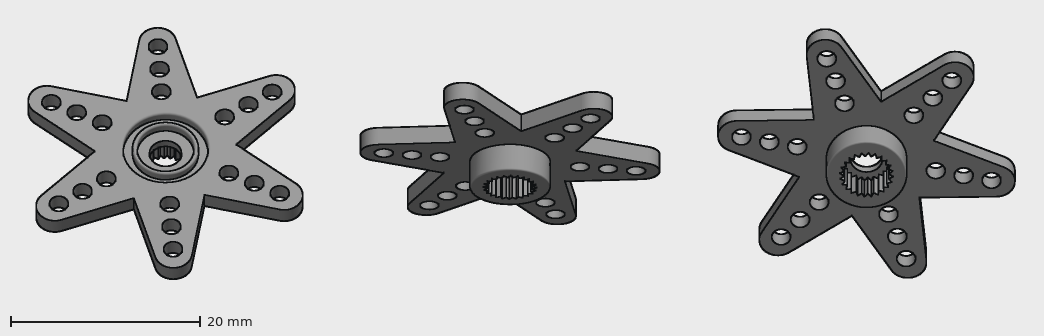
import cadquery as cq
import math

ARMS = 6
TIP_REACH = 16.0
TIP_RADIUS = 2.0
TIP_CENTER_RADIUS = TIP_REACH - TIP_RADIUS
VALLEY_RADIUS = 7.5
PLATE_THICKNESS = 2.0
TOTAL_HEIGHT = 5.0

HOLE_DIAMETER = 2.0
HOLE_FIRST_RADIUS = 7.5
HOLE_PITCH = 3.0
HOLES_PER_ARM = 3

FIRST_ARM_ANGLE = math.pi / 2
ARM_PITCH = 2 * math.pi / ARMS

HUB_DIAMETER = 8.5
HUB_FILLET = 0.2
HUB_HEIGHT = TOTAL_HEIGHT - PLATE_THICKNESS

GROOVE_DIAMETER = 9.0
RECESS_DEPTH = PLATE_THICKNESS / 2
GROOVE_RIM_FILLET = 0.25
RING_OUTER_DIAMETER = 7.0
RING_INNER_DIAMETER = 6.0

SCREW_DIAMETER = 3.4
SOCKET_DEPTH = HUB_HEIGHT
SPLINE_TEETH = 24
SPLINE_ROOT_RADIUS = 2.8
SPLINE_TIP_RADIUS = 2.4

SELECT_MARGIN = 0.03


def polar(radius, angle):
    return radius * math.cos(angle), radius * math.sin(angle)


def star_plate():
    """Star with rounded tips whose straight flanks are tangent to the tip arcs."""
    half_pitch = ARM_PITCH / 2
    valley_x, valley_y = polar(VALLEY_RADIUS, half_pitch)
    tip_distance = math.hypot(TIP_CENTER_RADIUS - valley_x, valley_y)
    flank_slope = math.atan2(valley_y, TIP_CENTER_RADIUS - valley_x) - math.asin(TIP_RADIUS / tip_distance)
    tangent_x = TIP_CENTER_RADIUS + TIP_RADIUS * math.sin(flank_slope)
    tangent_y = TIP_RADIUS * math.cos(flank_slope)
    tangent_radius = math.hypot(tangent_x, tangent_y)
    tangent_angle = math.atan2(tangent_y, tangent_x)

    outline = cq.Workplane("XY").moveTo(*polar(VALLEY_RADIUS, FIRST_ARM_ANGLE - half_pitch))
    for arm in range(ARMS):
        axis = FIRST_ARM_ANGLE + ARM_PITCH * arm
        outline = (
            outline.lineTo(*polar(tangent_radius, axis - tangent_angle))
            .threePointArc(polar(TIP_REACH, axis), polar(tangent_radius, axis + tangent_angle))
        )
        if arm < ARMS - 1:
            outline = outline.lineTo(*polar(VALLEY_RADIUS, axis + half_pitch))
    return outline.close().extrude(PLATE_THICKNESS)


def hub():
    cylinder = cq.Workplane("XY").circle(HUB_DIAMETER / 2).extrude(-HUB_HEIGHT)
    return cylinder.faces("<Z").edges().fillet(HUB_FILLET)


def arm_holes():
    points = [
        polar(HOLE_FIRST_RADIUS + HOLE_PITCH * step, FIRST_ARM_ANGLE + ARM_PITCH * arm)
        for arm in range(ARMS)
        for step in range(HOLES_PER_ARM)
    ]
    return cq.Workplane("XY").pushPoints(points).circle(HOLE_DIAMETER / 2).extrude(PLATE_THICKNESS)


def round_recess():
    top = cq.Workplane("XY").workplane(offset=PLATE_THICKNESS)
    return top.circle(GROOVE_DIAMETER / 2).extrude(-RECESS_DEPTH)


def round_groove_rim(body):
    rim_reach = GROOVE_DIAMETER / 2 + SELECT_MARGIN
    selector = cq.selectors.BoxSelector(
        (-rim_reach, -rim_reach, PLATE_THICKNESS - SELECT_MARGIN),
        (rim_reach, rim_reach, PLATE_THICKNESS + SELECT_MARGIN),
        boundingbox=True,
    )
    return body.edges(selector).fillet(GROOVE_RIM_FILLET)


def raised_ring():
    """Ring standing on the recess floor, flush with the plate, with a half-round crest."""
    inner = RING_INNER_DIAMETER / 2
    outer = RING_OUTER_DIAMETER / 2
    floor = PLATE_THICKNESS - RECESS_DEPTH
    shoulder = PLATE_THICKNESS - (outer - inner) / 2
    section = (
        cq.Workplane("XZ")
        .moveTo(inner, floor)
        .lineTo(outer, floor)
        .lineTo(outer, shoulder)
        .threePointArc(((inner + outer) / 2, PLATE_THICKNESS), (inner, shoulder))
        .close()
    )
    return section.revolve(360, (0, 0, 0), (0, 1, 0))


def spline_socket():
    """Toothed blind socket opening at the bottom of the hub."""
    half_tooth = math.pi / SPLINE_TEETH
    points = []
    for tooth in range(SPLINE_TEETH):
        angle = 2 * half_tooth * tooth
        points.append(polar(SPLINE_TIP_RADIUS, angle))
        points.append(polar(SPLINE_ROOT_RADIUS, angle + half_tooth))
    bottom = cq.Workplane("XY").workplane(offset=-HUB_HEIGHT)
    return bottom.polyline(points).close().extrude(SOCKET_DEPTH)


def screw_hole():
    bottom = cq.Workplane("XY").workplane(offset=-HUB_HEIGHT)
    return bottom.circle(SCREW_DIAMETER / 2).extrude(TOTAL_HEIGHT)


result = star_plate().union(hub())
result = result.cut(round_recess())
result = round_groove_rim(result)
result = result.union(raised_ring())
result = result.cut(screw_hole()).cut(spline_socket()).cut(arm_holes())